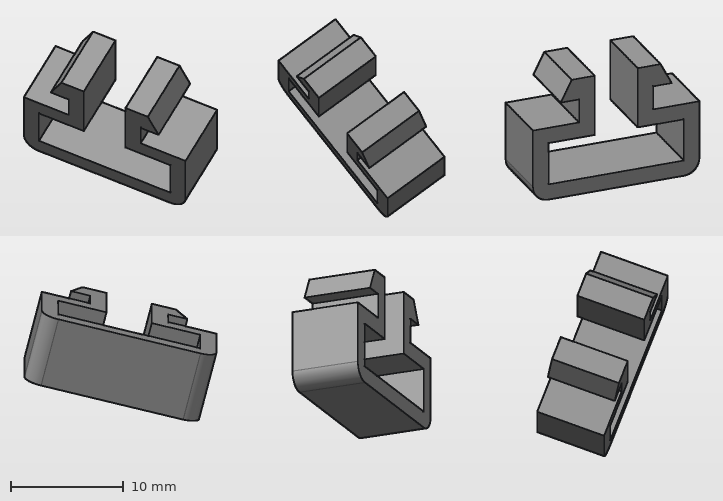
import cadquery as cq

width = 16.0
depth = 6.35
height = 11.35

wall = 1.5
corner_radius = 1.5
shoulder_height = 7.04

arm_gap = 4.13
hook_height = 2.05
hook_overhang = 1.76
hook_top_width = 2.2

half_width = width / 2
cavity_half_width = half_width - wall
cavity_top = shoulder_height - wall
arm_inner = arm_gap / 2
arm_outer = arm_inner + wall
hook_tip = arm_outer + hook_overhang
hook_top_outer = arm_inner + hook_top_width
hook_bottom = height - hook_height

half_profile = (
    cq.Workplane("XZ", origin=(0, depth / 2, 0))
    .polyline([
        (0, 0),
        (half_width, 0),
        (half_width, shoulder_height),
        (arm_outer, shoulder_height),
        (arm_outer, hook_bottom),
        (hook_tip, hook_bottom),
        (hook_top_outer, height),
        (arm_inner, height),
        (arm_inner, cavity_top),
        (cavity_half_width, cavity_top),
        (cavity_half_width, wall),
        (0, wall),
    ])
    .close()
    .extrude(depth)
)

half_clip = half_profile.faces("<Z").edges(">X").fillet(corner_radius)
result = half_clip.union(half_clip.mirror("YZ")).clean()